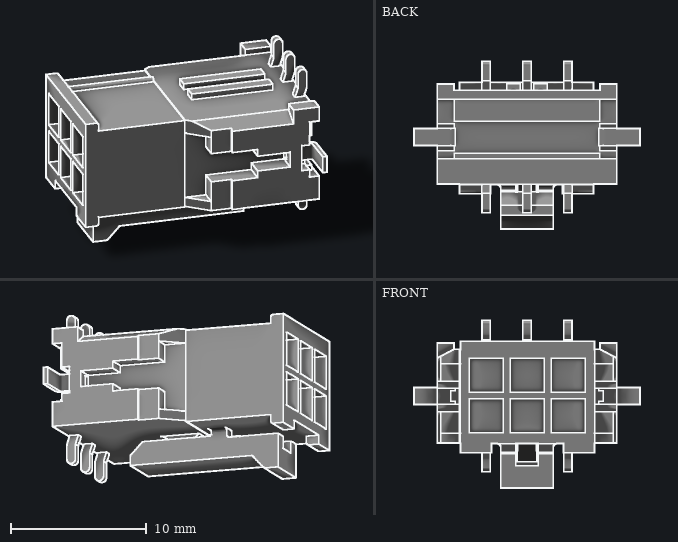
import cadquery as cq

overall_length = 17.56
contact_pitch = 3.0
column_offsets = [-contact_pitch, 0.0, contact_pitch]

plug_width = 9.89
plug_shift = 0.04
plug_top = 3.39
plug_bottom = -3.51
plug_length = 7.64
flange_thickness = 1.0
flange_top = 4.04
flange_bottom = -4.18
flange_round = 0.2
flange_gap_width = 5.27
socket_size = 2.5
socket_depth = 1.0
socket_shift_x = 0.02
socket_shift_z = 0.04
key_rib_radius = 0.32
key_rib_x = -3.0
key_rib_z = 3.34

tongue_half_width = 4.99
tongue_top = 2.39
tongue_bottom = -2.74
tongue_end = 15.26

latch_width = 3.88
latch_front = 1.51
latch_rear = 13.1
latch_bottom = -5.76
latch_front_top = -4.23
latch_rear_top = -4.04
latch_rear_chamfer = 0.98
grip_bottom = -6.78
grip_flat = 1.09
grip_slope_end = 3.56
neck_front = 5.53
neck_rear = 6.73
neck_front_round = 0.1
neck_rear_round = 0.12
neck_flare = 0.26
latch_slot_width = 1.65
latch_slot_bottom = -5.15
latch_slot_end = 10.71

header_front = plug_length
header_rear = 17.49
header_top = 3.45
header_bottom = -3.46
header_half_width = 6.6
wing_half_width = 6.34
wing_rear = 10.8
wing_front = 9.25
shoulder_half_width = 5.35
shoulder_low = 2.8
raised_top = 3.9
corner_block_front = 15.5
rib_width = 1.0
rib_x = 1.0

slot_z = -0.04
wide_slot_height = 2.25
wide_slot_end = 12.75
narrow_slot_height = 1.18
slot_pocket_depth = 0.44

rear_notch_top = 2.77
rear_notch_bottom = -1.62
rear_notch_y = 16.75
rear_face_y = 17.28
rear_channel_top = 1.15
rear_channel_bottom = -1.21
tab_recess_height = 1.98
tab_recess_y = 16.15

tab_half_span = 8.32
tab_height = 1.26
tab_thickness = 0.33
tab_leg_outer = 5.62
tab_leg_inner = tab_leg_outer - tab_thickness
tab_bend_radius = 0.14
tab_groove_height = 0.77

pin_width = 0.63
pin_thickness = 0.68
pin_tip = 5.58
pin_bend_z = 4.15
pin_root_z = 3.34
pin_root_shift = 0.26

lug_width = 1.42
lug_front = 8.17
lug_rear = 10.55
lug_bottom = -4.83
lug_fillet = 0.61


def box(x_min, x_max, y_min, y_max, z_min, z_max):
    """Box between the given limits."""
    size = (x_max - x_min, y_max - y_min, z_max - z_min)
    return cq.Workplane("XY").box(*size, centered=False).translate((x_min, y_min, z_min))


def mirrored_pair(shape):
    """The shape together with its copy on the other side of X = 0."""
    return shape.union(shape.mirror("YZ"))


def side_plane(width, x_center=0.0):
    """Workplane for a YZ outline that is extruded by width, centred on x_center."""
    return cq.Workplane("YZ").workplane(offset=x_center - width / 2)


def tongue():
    """Block of the plug that sits inside the header."""
    return box(-tongue_half_width, tongue_half_width, header_front, tongue_end, tongue_bottom, tongue_top)


def plug_block():
    """Front block with its flange; the lower flange is interrupted above the latch."""
    left = plug_shift - plug_width / 2
    right = plug_shift + plug_width / 2
    flange = box(left, right, 0, flange_thickness, flange_bottom, flange_top)
    flange = flange.faces(">Y").edges("|X").fillet(flange_round)
    gap_left = plug_shift - flange_gap_width / 2
    gap_right = plug_shift + flange_gap_width / 2
    flange = flange.cut(box(gap_left, gap_right, 0, flange_thickness, flange_bottom, plug_bottom))
    return flange.union(box(left, right, 0, plug_length, plug_bottom, plug_top))


def sockets():
    """Two rows of square sockets in the mating face."""
    rows = [-contact_pitch / 2, contact_pitch / 2]
    positions = [(x, z) for x in column_offsets for z in rows]
    return (
        cq.Workplane("XZ")
        .pushPoints(positions)
        .rect(socket_size, socket_size)
        .extrude(-socket_depth)
        .translate((socket_shift_x, 0, socket_shift_z))
    )


def key_rib():
    """Round rib along the top of the plug."""
    return (
        cq.Workplane("XZ", origin=(key_rib_x, flange_thickness / 2, key_rib_z))
        .circle(key_rib_radius)
        .extrude(flange_thickness / 2 - plug_length)
    )


def add_latch_neck(block):
    """Block with the neck of the latch, flared into the block at the rear and on both sides."""
    half = latch_width / 2
    neck = box(-half, half, neck_front, neck_rear, latch_front_top, plug_bottom)
    joined = block.union(neck)
    root_edges = cq.selectors.BoxSelector(
        (-half - neck_flare, neck_front + neck_flare, plug_bottom - neck_flare),
        (half + neck_flare, neck_rear + neck_flare, plug_bottom + neck_flare),
    )
    return joined.edges(root_edges).fillet(neck_flare)


def latch_lever():
    """Lever with a chamfered rear end, a grip at the front and rounds at the foot of the neck."""
    return (
        side_plane(latch_width)
        .moveTo(latch_front, latch_front_top)
        .lineTo(neck_front - neck_front_round, latch_front_top)
        .radiusArc((neck_front, latch_front_top + neck_front_round), neck_front_round)
        .lineTo(neck_rear, latch_rear_top + neck_rear_round)
        .radiusArc((neck_rear + neck_rear_round, latch_rear_top), neck_rear_round)
        .lineTo(latch_rear - latch_rear_chamfer, latch_rear_top)
        .lineTo(latch_rear, latch_rear_top - latch_rear_chamfer)
        .lineTo(latch_rear, latch_bottom)
        .lineTo(grip_slope_end, latch_bottom)
        .lineTo(latch_front + grip_flat, grip_bottom)
        .lineTo(latch_front, grip_bottom)
        .close()
        .extrude(latch_width)
    )


def latch_slot():
    """Groove along the top of the latch, open to the front, which takes the lug of the header."""
    half = latch_slot_width / 2
    return box(-half, half, latch_front, latch_slot_end, latch_slot_bottom, plug_bottom)


def make_plug():
    block = plug_block().union(key_rib()).union(tongue())
    return add_latch_neck(block).union(latch_lever()).cut(latch_slot()).cut(sockets())


def shell():
    """Outer shell: stepped sides, angled front corners and sloped upper shoulders."""
    outline = [
        (0, header_rear),
        (header_half_width, header_rear),
        (header_half_width, wing_rear),
        (wing_half_width, wing_rear),
        (wing_half_width, wing_front),
        (tongue_half_width, header_front),
        (0, header_front),
    ]
    half_shell = (
        cq.Workplane("XY", origin=(0, 0, header_bottom))
        .polyline(outline)
        .close()
        .extrude(header_top - header_bottom)
    )
    shoulder = (
        cq.Workplane("XZ", origin=(0, header_front, 0))
        .polyline([
            (shoulder_half_width, header_top),
            (header_half_width, shoulder_low),
            (header_half_width, header_top),
        ])
        .close()
        .extrude(header_front - corner_block_front)
    )
    corner_block = box(
        shoulder_half_width, header_half_width, corner_block_front, header_rear, shoulder_low, raised_top
    )
    return mirrored_pair(half_shell.cut(shoulder).union(corner_block))


def top_ribs():
    """Pair of flat ribs on top."""
    rib = box(
        rib_x - rib_width / 2, rib_x + rib_width / 2, wing_front, corner_block_front, header_top, raised_top
    )
    return mirrored_pair(rib)


def side_openings():
    """Openings beside the tongue: the front gap, the stepped slot and the pocket at its end."""
    inner = tongue_half_width
    outer = header_half_width
    wide_half = wide_slot_height / 2
    narrow_half = narrow_slot_height / 2
    pocket_end = tongue_end + slot_pocket_depth
    front_gap = box(inner, outer, header_front, wing_front, tongue_bottom, tongue_top)
    wide_slot = box(inner, outer, wing_front, wide_slot_end, slot_z - wide_half, slot_z + wide_half)
    narrow_slot = box(inner, outer, wide_slot_end, tongue_end, slot_z - narrow_half, slot_z + narrow_half)
    pocket = box(inner, tab_leg_inner, tongue_end, pocket_end, slot_z - narrow_half, slot_z + narrow_half)
    tab_groove = box(
        tab_leg_inner, tab_leg_outer, tongue_end, pocket_end, -tab_groove_height / 2, tab_groove_height / 2
    )
    opening = front_gap.union(wide_slot).union(narrow_slot).union(pocket).union(tab_groove)
    return mirrored_pair(opening)


def rear_recesses():
    """Recesses of the solder side: a shallow step, a cross channel, side notches and tab recesses."""
    inner = shoulder_half_width
    outer = header_half_width
    recess_half = tab_recess_height / 2
    step = box(-inner, inner, rear_face_y, header_rear, rear_notch_bottom, rear_notch_top)
    channel = box(-inner, inner, rear_notch_y, header_rear, rear_channel_bottom, rear_channel_top)
    notch = box(inner, outer, rear_notch_y, header_rear, rear_notch_bottom, rear_notch_top)
    tab_recess = box(inner, outer, tab_recess_y, rear_notch_y, slot_z - recess_half, slot_z + recess_half)
    return step.union(channel).union(mirrored_pair(notch.union(tab_recess)))


def side_tabs():
    """Bent metal tabs: a leg out of the tab recess and a plate to the side."""
    plate_front = overall_length - tab_thickness
    outer_bend = tab_bend_radius + tab_thickness
    tab = (
        cq.Workplane("XY", origin=(0, 0, -tab_height / 2))
        .moveTo(tab_leg_inner, tab_recess_y)
        .lineTo(tab_leg_outer, tab_recess_y)
        .lineTo(tab_leg_outer, plate_front - tab_bend_radius)
        .radiusArc((tab_leg_outer + tab_bend_radius, plate_front), tab_bend_radius)
        .lineTo(tab_half_span, plate_front)
        .lineTo(tab_half_span, overall_length)
        .lineTo(tab_leg_inner + outer_bend, overall_length)
        .radiusArc((tab_leg_inner, overall_length - outer_bend), -outer_bend)
        .close()
        .extrude(tab_height)
    )
    return mirrored_pair(tab)


def solder_pin(x_center):
    """Upper solder pin with a bent root and a round tip."""
    rear = overall_length
    front = overall_length - pin_thickness
    tip_radius = pin_thickness / 2
    return (
        side_plane(pin_width, x_center)
        .moveTo(front - pin_root_shift, pin_root_z)
        .lineTo(front, pin_bend_z)
        .lineTo(front, pin_tip - tip_radius)
        .threePointArc((rear - tip_radius, pin_tip), (rear, pin_tip - tip_radius))
        .lineTo(rear, pin_bend_z)
        .lineTo(rear - pin_root_shift, pin_root_z)
        .close()
        .extrude(pin_width)
    )


def latch_lug():
    """Lug below the shell: a sloped front and a rear that curves into the shell."""
    slope_run = header_bottom - lug_bottom
    return (
        side_plane(lug_width)
        .moveTo(lug_front, header_bottom)
        .lineTo(lug_front + slope_run, lug_bottom)
        .lineTo(lug_rear, lug_bottom)
        .lineTo(lug_rear, header_bottom - lug_fillet)
        .radiusArc((lug_rear + lug_fillet, header_bottom), lug_fillet)
        .close()
        .extrude(lug_width)
    )


def make_header():
    header = shell().union(top_ribs()).union(latch_lug())
    header = header.cut(tongue()).cut(side_openings()).cut(rear_recesses())
    header = header.union(side_tabs())
    for x_center in column_offsets:
        pin = solder_pin(x_center)
        header = header.union(pin).union(pin.mirror("XY"))
    return header


plug = make_plug()
header = make_header()
result = cq.Compound.makeCompound([plug.solids().val(), header.solids().val()])